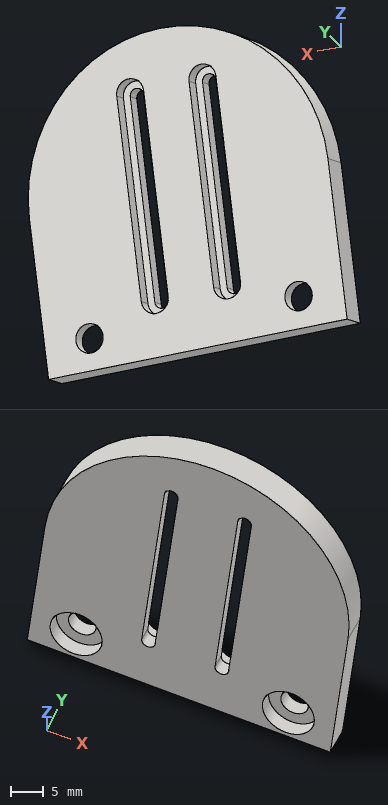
import cadquery as cq

width = 50.0
height = 50.0
thickness = 5.0
top_radius = width / 2
shoulder_height = height - top_radius
lean_angle = 16.0

slot_spacing = 12.1
slot_width = 2.2
slot_travel = 32.0
slot_recess_width = 4.5
slot_recess_depth = 2.5
slot_center_height = height / 2

screw_spacing = 35.0
screw_height = 5.0
screw_diameter = 4.5
head_diameter = 8.5
head_depth = 2.5


def make_plate():
    """Upright plate with its front face on y = 0 and its lower edge on z = 0."""
    return (
        cq.Workplane("XZ")
        .moveTo(-width / 2, 0)
        .lineTo(width / 2, 0)
        .lineTo(width / 2, shoulder_height)
        .threePointArc((0, height), (-width / 2, shoulder_height))
        .close()
        .extrude(-thickness)
    )


def make_slot_pair(start_y, cut_width, depth):
    """Two round-ended cutters running from start_y toward +Y."""
    centers = [(side * slot_spacing / 2, slot_center_height) for side in (-1, 1)]
    return (
        cq.Workplane("XZ", origin=(0, start_y, 0))
        .pushPoints(centers)
        .slot2D(slot_travel + cut_width, cut_width, 90)
        .extrude(-depth)
    )


def make_slots():
    """Narrow through slots joined with the wider recesses behind them."""
    narrow = make_slot_pair(0, slot_width, thickness)
    recesses = make_slot_pair(thickness - slot_recess_depth, slot_recess_width, slot_recess_depth)
    return narrow.union(recesses)


def make_screw_holes():
    """Through holes joined with their wider head recesses."""
    centers = [(side * screw_spacing / 2, screw_height) for side in (-1, 1)]
    front = cq.Workplane("XZ").pushPoints(centers)
    shanks = front.circle(screw_diameter / 2).extrude(-thickness)
    heads = front.circle(head_diameter / 2).extrude(-head_depth)
    return shanks.union(heads)


upright_plate = make_plate().cut(make_slots()).cut(make_screw_holes())

result = upright_plate.rotate((0, 0, 0), (1, 0, 0), -lean_angle)